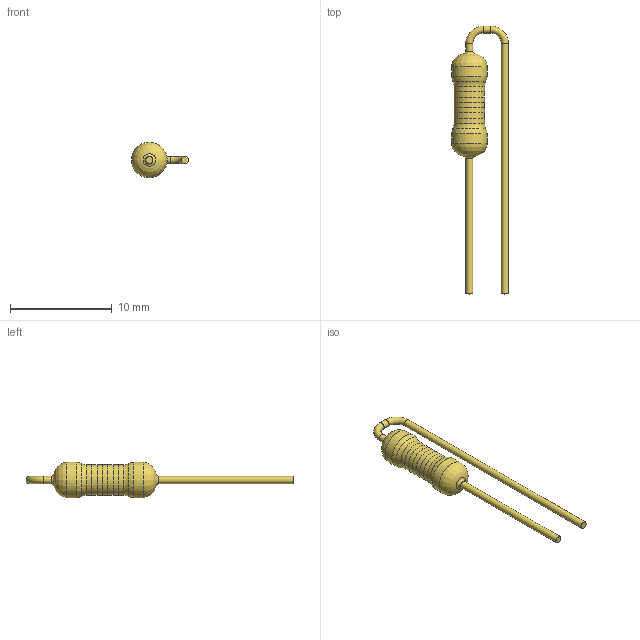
import cadquery as cq
import math


wire_diameter = 0.7
lead_spacing = 3.5
bend_radius = 1.4
loop_top = 7.77
overall_length = 26.35

collar_diameter = 3.5
band_diameter = 3.0
gap_diameter = 2.98
band_count = 4
neck_length = 3.66
shoulder_length = 1.0
collar_length = 0.93
dome_radius = 1.25
root_fillet_radius = 0.3

wire_radius = wire_diameter / 2
collar_radius = collar_diameter / 2
band_radius = band_diameter / 2
ring_width = neck_length / (2 * band_count - 1)
collar_start = neck_length / 2 + shoulder_length
collar_end = collar_start + collar_length
wire_end = loop_top - overall_length
bend_start = loop_top - wire_radius - bend_radius
loop_centre = loop_top - wire_radius


def arc_point(centre, radius, angle):
    """Point on a circle, with the angle measured from the radial direction."""
    return (centre[0] + radius * math.cos(angle), centre[1] + radius * math.sin(angle))


def make_body_half():
    """Revolve the half of the body on the +Y side, with its lead root."""
    half_step = (collar_radius - band_radius) / 2
    half_length = shoulder_length / 2
    shoulder_radius = (half_length**2 + half_step**2) / (2 * half_step)
    shoulder_mid = (band_radius + half_step, neck_length / 2 + half_length)
    neck_arc_centre = (band_radius + shoulder_radius, neck_length / 2)
    collar_arc_centre = (collar_radius - shoulder_radius, collar_start)
    half_sweep = math.asin(half_length / shoulder_radius) / 2
    neck_arc_middle = arc_point(neck_arc_centre, shoulder_radius, math.pi - half_sweep)
    collar_arc_middle = arc_point(collar_arc_centre, shoulder_radius, -half_sweep)

    dome_centre = (collar_radius - dome_radius, collar_end)
    fillet_centre_r = wire_radius + root_fillet_radius
    contact_angle = math.acos((fillet_centre_r - dome_centre[0]) / (dome_radius + root_fillet_radius))
    fillet_centre = arc_point(dome_centre, dome_radius + root_fillet_radius, contact_angle)
    dome_middle = arc_point(dome_centre, dome_radius, contact_angle / 2)
    dome_end = arc_point(dome_centre, dome_radius, contact_angle)
    fillet_middle = arc_point(fillet_centre, root_fillet_radius, math.pi + contact_angle / 2)
    fillet_end = (wire_radius, fillet_centre[1])

    profile = (
        cq.Workplane("XY")
        .lineTo(band_radius, 0)
        .lineTo(band_radius, neck_length / 2)
        .threePointArc(neck_arc_middle, shoulder_mid)
        .threePointArc(collar_arc_middle, (collar_radius, collar_start))
        .lineTo(collar_radius, collar_end)
        .threePointArc(dome_middle, dome_end)
        .threePointArc(fillet_middle, fillet_end)
        .lineTo(0, fillet_end[1])
        .close()
    )
    return profile.revolve(360, (0, 0), (0, 1))


def cut_band_gaps(body):
    """Recess the rings that separate the colour bands."""
    for index in range(band_count - 1):
        gap_start = -neck_length / 2 + (2 * index + 1) * ring_width
        ring = (
            cq.Workplane("XZ", origin=(0, gap_start, 0))
            .circle(collar_radius)
            .circle(gap_diameter / 2)
            .extrude(-ring_width)
        )
        body = body.cut(ring)
    return body


def make_straight_wire(x, y_start, y_end):
    """Round wire parallel to Y."""
    return cq.Workplane("XZ", origin=(x, y_start, 0)).circle(wire_radius).extrude(y_start - y_end)


def make_loop_wire():
    """Lead that leaves the +Y end, turns back and runs alongside the body."""
    bend_offset = bend_radius * (1 - math.cos(math.pi / 4))
    path = (
        cq.Workplane("XY")
        .moveTo(0, 0)
        .lineTo(0, bend_start)
        .threePointArc((bend_offset, loop_centre - bend_offset), (bend_radius, loop_centre))
        .lineTo(lead_spacing - bend_radius, loop_centre)
        .threePointArc(
            (lead_spacing - bend_offset, loop_centre - bend_offset),
            (lead_spacing, bend_start),
        )
        .lineTo(lead_spacing, wire_end)
    )
    return cq.Workplane("XZ").circle(wire_radius).sweep(path)


body_half = make_body_half()
body = cut_band_gaps(body_half.union(body_half.mirror("XZ")))
result = body.union(make_straight_wire(0, wire_end, 0)).union(make_loop_wire())